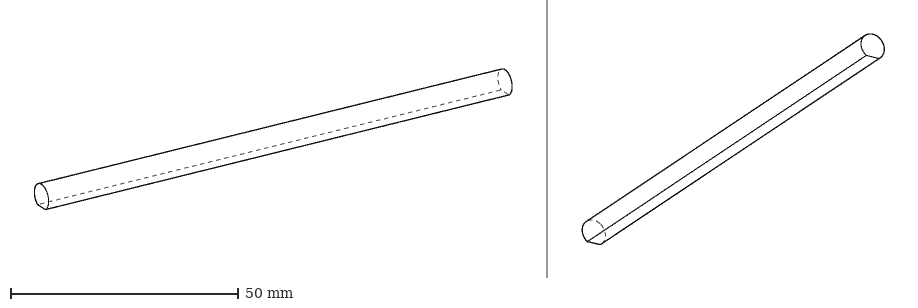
import cadquery as cq

diameter = 6.0
length = 120.0
height_over_flat = 5.5

radius = diameter / 2
flat_depth = diameter - height_over_flat


def round_rod():
    """Cylinder centred on the origin with its axis along Y."""
    return cq.Workplane("XZ").circle(radius).extrude(length / 2, both=True)


def flat_cutter():
    """Block covering the thin segment removed along the bottom of the rod."""
    return (
        cq.Workplane("XY")
        .workplane(offset=-radius)
        .rect(diameter, length)
        .extrude(flat_depth)
    )


result = round_rod().cut(flat_cutter())